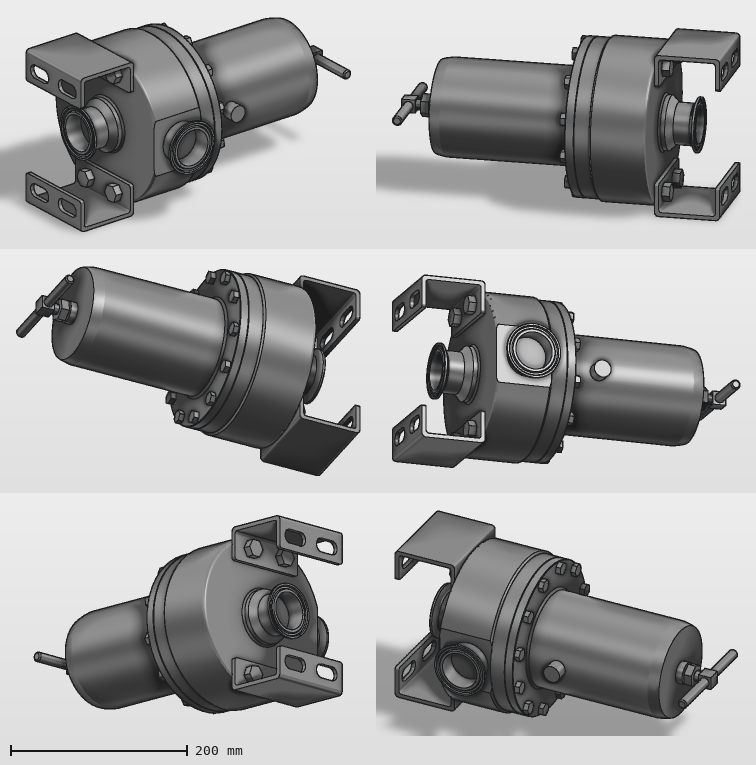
import cadquery as cq
import math


BODY_R = 94.5
BODY_FLAT_X = 88.0
BODY_FILLET = 3.5
BODY_CHAMFER = 2.3
FLANGE_R = 92.0
FLANGE_CHAMFER = 0.8
FLANGE_START_Y = 66.5
FLANGE_END_Y = 95.0
SEAM_Y = 84.2
SEAM_WIDTH = 0.8
SEAM_DEPTH = 0.5

BONNET_R = 57.0
BONNET_WELD = 2.5
BONNET_SHOULDER_Y = 248.0
BONNET_END_Y = 261.0
BONNET_END_R = 54.0
SHOULDER_MID_R = 55.97
SIDE_STUB_R = 10.05
SIDE_STUB_END_X = 71.5
SIDE_STUB_Y = 133.5

BOSS_R = 13.0
BOSS_END_Y = 269.5
NECK_R = 8.5
NUT_START_Y = 271.5
NUT_END_Y = 281.0
NUT_FLATS = 23.0
NUT_TURN = 25
STEM_R = 6.0
TEE_WIDTH = 16.5
TEE_SIZE = 15.5
TEE_END_Y = 303.5
BAR_R = 5.5
BAR_LENGTH = 129.0
BAR_CHAMFER = 1.5

FLANGE_BOLTS = 12
BOLT_CIRCLE_R = 84.0
BOLT_FLATS = 13.3
BOLT_HEAD = 6.0
FIRST_BOLT_ANGLE = 15
BOLT_TURN = -11

TUBE_R = 24.3
BORE_R = 21.82
BORE_DEPTH = 22.0
LIP_R = 32.0
LIP_WIDTH = 2.5
LIP_BACK = 5.5
LIP_ROOT_R = 26.5
LIP_ROOT = 2.0
LIP_ROOT_MID_R = 24.85
GROOVE_INNER_R = 25.0
GROOVE_OUTER_R = 29.5
GROOVE_DEPTH = 1.5
GROOVE_SLOPE = 1.0
INLET_LENGTH = 41.5
REDUCER_R = 32.0
REDUCER_STRAIGHT = 7.5
REDUCER_LENGTH = 15.5
REDUCER_WELD = 2.3
OUTLET_END_X = 111.0
OUTLET_Y = 37.0

BRACKET_WIDTH = 101.0
BRACKET_DEPTH = 76.0
BRACKET_LEG = 38.5
BRACKET_TOP_Z = 95.8
BRACKET_THICKNESS = 5.0
BRACKET_INNER_R = 3.8
BRACKET_OUTER_R = 5.0
BRACKET_CORNER_R = 3.5
SLOT_LENGTH = 33.0
SLOT_WIDTH = 16.5
SLOT_X = 25.5
SLOT_Z = 74.0
MOUNT_BOLT_FLATS = 18.5
MOUNT_BOLT_HEAD = 9.0
LOWER_BOLT_TURN = 9


def turned(points):
    """Solid of revolution about Y from a closed outline of (radius, y) points."""
    return cq.Workplane("XY").polyline(points).close().revolve(360, (0, 0), (0, 1))


def disc(radius, start, end):
    """Cylinder on the Y axis from y = start to y = end."""
    return cq.Workplane("XZ", origin=(0, start, 0)).circle(radius).extrude(start - end)


def hexagon(flats, start, end, x=0, z=0, turn=0):
    """Hexagonal prism along Y with a corner turned away from +X towards +Z."""
    corners = flats / math.cos(math.pi / 6)
    prism = cq.Workplane("XZ", origin=(0, start, 0)).polygon(6, corners).extrude(start - end)
    return prism.rotate((0, 0, 0), (0, -1, 0), turn).translate((x, 0, z))


def make_body():
    body = disc(BODY_R, 0, FLANGE_START_Y)
    body = body.faces("<Y").edges().fillet(BODY_FILLET)
    body = body.faces(">Y").edges().chamfer(BODY_CHAMFER)
    beyond_flat = cq.Workplane("XY").box(BODY_R, BODY_R, 2 * BODY_R, centered=(False, False, True))
    return body.cut(beyond_flat.translate((BODY_FLAT_X, 0, 0)))


def make_flange():
    flange = disc(FLANGE_R, FLANGE_START_Y, FLANGE_END_Y)
    flange = flange.faces(">Y").edges().chamfer(FLANGE_CHAMFER)
    seam_start = SEAM_Y - SEAM_WIDTH / 2
    seam_end = SEAM_Y + SEAM_WIDTH / 2
    seam = disc(BODY_R, seam_start, seam_end).cut(disc(FLANGE_R - SEAM_DEPTH, seam_start, seam_end))
    flange = flange.cut(seam)
    for number in range(FLANGE_BOLTS):
        angle = FIRST_BOLT_ANGLE + number * 360 / FLANGE_BOLTS
        x = BOLT_CIRCLE_R * math.cos(math.radians(angle))
        z = BOLT_CIRCLE_R * math.sin(math.radians(angle))
        head_end = FLANGE_END_Y + BOLT_HEAD
        flange = flange.union(hexagon(BOLT_FLATS, FLANGE_END_Y, head_end, x, z, angle + BOLT_TURN))
    return flange


def make_bonnet():
    shoulder_mid = (SHOULDER_MID_R, (BONNET_SHOULDER_Y + BONNET_END_Y) / 2)
    bonnet = (
        cq.Workplane("XY")
        .moveTo(0, FLANGE_END_Y)
        .lineTo(BONNET_R + BONNET_WELD, FLANGE_END_Y)
        .lineTo(BONNET_R, FLANGE_END_Y + BONNET_WELD)
        .lineTo(BONNET_R, BONNET_SHOULDER_Y)
        .threePointArc(shoulder_mid, (BONNET_END_R, BONNET_END_Y))
        .lineTo(0, BONNET_END_Y)
        .close()
        .revolve(360, (0, 0), (0, 1))
    )
    stub = cq.Workplane("YZ").center(SIDE_STUB_Y, 0).circle(SIDE_STUB_R).extrude(SIDE_STUB_END_X)
    return bonnet.union(stub)


def make_handle():
    tee_start = TEE_END_Y - TEE_SIZE
    tee_mid = TEE_END_Y - TEE_SIZE / 2
    spindle = disc(BOSS_R, BONNET_END_Y, BOSS_END_Y)
    spindle = spindle.union(disc(NECK_R, BOSS_END_Y, NUT_START_Y))
    spindle = spindle.union(hexagon(NUT_FLATS, NUT_START_Y, NUT_END_Y, turn=NUT_TURN))
    spindle = spindle.union(disc(STEM_R, NUT_END_Y, tee_start))
    tee = cq.Workplane("XY").box(TEE_WIDTH, TEE_SIZE, TEE_SIZE).translate((0, tee_mid, 0))
    bar = cq.Workplane("YZ").center(tee_mid, 0).circle(BAR_R).extrude(BAR_LENGTH / 2, both=True)
    bar = bar.faces("<X or >X").edges().chamfer(BAR_CHAMFER)
    return spindle.union(tee).union(bar)


def make_ferrule(start, end):
    """Clamp ferrule on the Y axis with its tube at y = start and its grooved face at y = end < start."""
    lip_back = end + LIP_BACK
    root = lip_back + LIP_ROOT
    root_mid = (LIP_ROOT_MID_R, lip_back + LIP_ROOT / 2)
    ferrule = (
        cq.Workplane("XY")
        .moveTo(0, start)
        .lineTo(TUBE_R, start)
        .lineTo(TUBE_R, root)
        .threePointArc(root_mid, (LIP_ROOT_R, lip_back))
        .lineTo(LIP_R, end + LIP_WIDTH)
        .lineTo(LIP_R, end)
        .lineTo(0, end)
        .close()
        .revolve(360, (0, 0), (0, 1))
    )
    groove = turned([
        (GROOVE_INNER_R, end),
        (GROOVE_INNER_R + GROOVE_SLOPE, end + GROOVE_DEPTH),
        (GROOVE_OUTER_R - GROOVE_SLOPE, end + GROOVE_DEPTH),
        (GROOVE_OUTER_R, end),
    ])
    return ferrule.cut(groove)


def make_inlet():
    reducer = turned([
        (0, 0),
        (REDUCER_R + REDUCER_WELD, 0),
        (REDUCER_R, -REDUCER_WELD),
        (REDUCER_R, -REDUCER_STRAIGHT),
        (TUBE_R, -REDUCER_LENGTH),
        (0, -REDUCER_LENGTH),
    ])
    ferrule = make_ferrule(-REDUCER_LENGTH, -INLET_LENGTH)
    return reducer.union(ferrule).cut(disc(BORE_R, -INLET_LENGTH, BORE_DEPTH - INLET_LENGTH))


def make_outlet():
    bore = disc(BORE_R, -OUTLET_END_X, BORE_DEPTH - OUTLET_END_X)
    outlet = make_ferrule(-BODY_FLAT_X, -OUTLET_END_X).cut(bore)
    return outlet.rotate((0, 0, 0), (0, 0, 1), 90).translate((0, OUTLET_Y, 0))


def make_bracket(bolt_turn):
    """Upper channel bracket with its two slots and two bolt heads."""
    inside_depth = BRACKET_DEPTH - 2 * BRACKET_THICKNESS
    leg_end_z = BRACKET_TOP_Z - BRACKET_LEG
    channel = (
        cq.Workplane("XY")
        .box(BRACKET_WIDTH, BRACKET_DEPTH, BRACKET_LEG)
        .edges("|X and >Z").fillet(BRACKET_OUTER_R)
    )
    inside = (
        cq.Workplane("XY")
        .box(BRACKET_WIDTH, inside_depth, BRACKET_LEG)
        .edges("|X and >Z").fillet(BRACKET_INNER_R)
        .translate((0, 0, -BRACKET_THICKNESS))
    )
    bracket = channel.cut(inside).edges("|Y and <Z").fillet(BRACKET_CORNER_R)
    bracket = bracket.translate((0, -BRACKET_DEPTH / 2, leg_end_z + BRACKET_LEG / 2))
    slots = (
        cq.Workplane("XZ", origin=(0, -BRACKET_DEPTH + BRACKET_THICKNESS, SLOT_Z))
        .pushPoints([(-SLOT_X, 0), (SLOT_X, 0)])
        .slot2D(SLOT_LENGTH, SLOT_WIDTH)
        .extrude(BRACKET_THICKNESS)
    )
    bracket = bracket.cut(slots)
    head_start = -BRACKET_THICKNESS - MOUNT_BOLT_HEAD
    for x in (-SLOT_X, SLOT_X):
        head = hexagon(MOUNT_BOLT_FLATS, head_start, -BRACKET_THICKNESS, x, SLOT_Z, bolt_turn)
        bracket = bracket.union(head)
    return bracket


result = (
    make_body()
    .union(make_flange())
    .union(make_bonnet())
    .union(make_handle())
    .union(make_inlet())
    .union(make_outlet())
    .union(make_bracket(0))
    .union(make_bracket(-LOWER_BOLT_TURN).mirror("XY"))
)